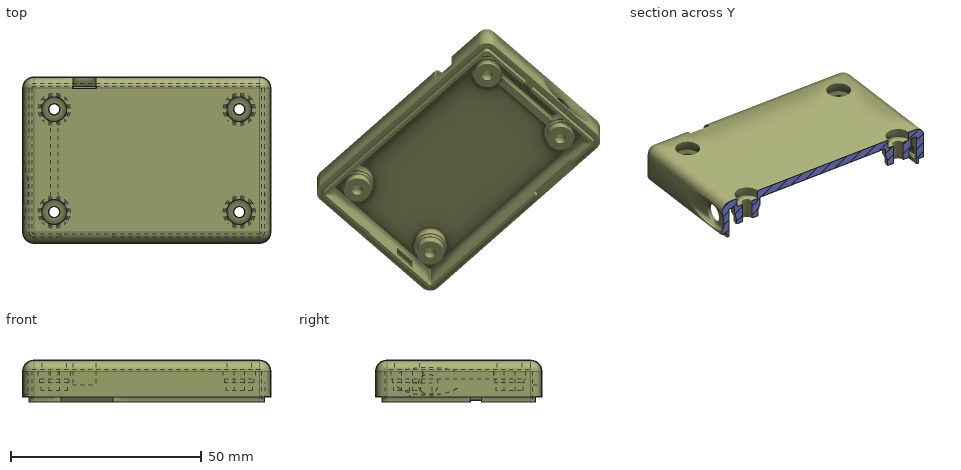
import cadquery as cq

LENGTH = 65.25
WIDTH = 43.7
HEIGHT = 11.0
EDGE_RADIUS = 2.95
WALL = 2.5

LIP_HEIGHT = 1.4
LIP_INSET = 1.6
FRONT_GAP_CENTER_X = -15.7
FRONT_GAP_LENGTH = 13.7
SIDE_GAP_CENTER_Y = 4.5
SIDE_GAP_WIDTH = 2.9
RIGHT_GAP_HEIGHT = 0.45

SCREW_SPACING_X = 48.7
SCREW_SPACING_Y = 27.0
SCREW_CENTER_Y = -0.1
SCREW_DIAMETER = 2.9
COUNTERBORE_DIAMETER = 6.5
COUNTERBORE_DEPTH = 2.5
BOSS_STEPS = ((8.5, 4.95), (7.7, 5.9), (7.05, 8.0))

BEAM_THICKNESS = 1.95
BEAM_DEPTH = BOSS_STEPS[0][1]

CABLE_Y = -8.0
CABLE_DIAMETER = 5.2
CABLE_Z = 4.7
MOUTH_Z = 5.7
MOUTH_WIDTH = 17.9
MOUTH_HEIGHT = 7.7
MOUTH_DEPTH = 1.4

NOTCH_CENTER_X = -16.4
NOTCH_LENGTH = 6.15
NOTCH_FLOOR_Z = 4.6

POCKET_Y_MAX = -7.05
POCKET_WIDTH = 5.9
POCKET_TOP_Z = 5.0
POCKET_DEPTH = 1.0


def box_between(x_range, y_range, z_range):
    """Axis-aligned box spanning three (low, high) ranges."""
    low, high = zip(x_range, y_range, z_range)
    size = [b - a for a, b in zip(low, high)]
    return cq.Workplane("XY").box(*size, centered=False).translate(low)


def inset_prism(inset, bottom_z, top_z):
    """Rounded rectangle parallel to the outer outline, drawn in by inset."""
    prism = cq.Workplane("XY").workplane(offset=bottom_z)
    prism = prism.rect(LENGTH - 2 * inset, WIDTH - 2 * inset).extrude(top_z - bottom_z)
    return prism.edges("|Z").fillet(EDGE_RADIUS - inset)


def shell():
    body = inset_prism(0, LIP_HEIGHT, HEIGHT).faces(">Z").edges().fillet(EDGE_RADIUS)
    lip = inset_prism(LIP_INSET, 0, HEIGHT - WALL)
    cavity = inset_prism(WALL, 0, HEIGHT - WALL)
    return body.union(lip).cut(cavity)


def screw_points():
    top = cq.Workplane("XY", origin=(0, SCREW_CENTER_Y, HEIGHT))
    return top.rect(SCREW_SPACING_X, SCREW_SPACING_Y, forConstruction=True).vertices()


def add_bosses(part):
    root_depth = WALL / 2
    for diameter, depth in BOSS_STEPS:
        boss = screw_points().circle(diameter / 2).extrude(root_depth - depth)
        part = part.union(boss.translate((0, 0, -root_depth)))
    beam_x = -SCREW_SPACING_X / 2
    beam = box_between(
        (beam_x - BEAM_THICKNESS / 2, beam_x + BEAM_THICKNESS / 2),
        (SCREW_CENTER_Y - SCREW_SPACING_Y / 2, SCREW_CENTER_Y + SCREW_SPACING_Y / 2),
        (HEIGHT - BEAM_DEPTH, HEIGHT - root_depth),
    )
    return part.union(beam)


def screw_holes():
    holes = screw_points().circle(SCREW_DIAMETER / 2).extrude(-HEIGHT)
    counterbores = screw_points().circle(COUNTERBORE_DIAMETER / 2).extrude(-COUNTERBORE_DEPTH)
    return holes.union(counterbores)


def lip_gaps():
    half_length = LENGTH / 2
    half_width = WIDTH / 2
    front_x = (FRONT_GAP_CENTER_X - FRONT_GAP_LENGTH / 2, FRONT_GAP_CENTER_X + FRONT_GAP_LENGTH / 2)
    side_y = (SIDE_GAP_CENTER_Y - SIDE_GAP_WIDTH / 2, SIDE_GAP_CENTER_Y + SIDE_GAP_WIDTH / 2)
    front = box_between(front_x, (-half_width, WALL - half_width), (0, LIP_HEIGHT))
    left = box_between((-half_length, WALL - half_length), side_y, (0, LIP_HEIGHT))
    right = box_between((half_length - WALL, half_length), side_y, (0, RIGHT_GAP_HEIGHT))
    return front.union(left).union(right)


def cable_entry():
    face = cq.Workplane("YZ", origin=(-LENGTH / 2, CABLE_Y, 0))
    mouth = (
        face.center(0, MOUTH_Z).ellipse(MOUTH_WIDTH / 2, MOUTH_HEIGHT / 2)
        .workplane(offset=MOUTH_DEPTH)
        .center(0, CABLE_Z - MOUTH_Z).circle(CABLE_DIAMETER / 2)
        .loft(ruled=True)
    )
    hole = face.center(0, CABLE_Z).circle(CABLE_DIAMETER / 2).extrude(WALL)
    return mouth.union(hole)


def edge_notch():
    return box_between(
        (NOTCH_CENTER_X - NOTCH_LENGTH / 2, NOTCH_CENTER_X + NOTCH_LENGTH / 2),
        (WIDTH / 2 - EDGE_RADIUS, WIDTH / 2),
        (NOTCH_FLOOR_Z, HEIGHT),
    )


def inner_pocket():
    inner_x = LENGTH / 2 - WALL
    return box_between(
        (inner_x, inner_x + POCKET_DEPTH),
        (POCKET_Y_MAX - POCKET_WIDTH, POCKET_Y_MAX),
        (LIP_HEIGHT, POCKET_TOP_Z),
    )


result = add_bosses(shell())
for cutter in (screw_holes(), lip_gaps(), cable_entry(), edge_notch(), inner_pocket()):
    result = result.cut(cutter)